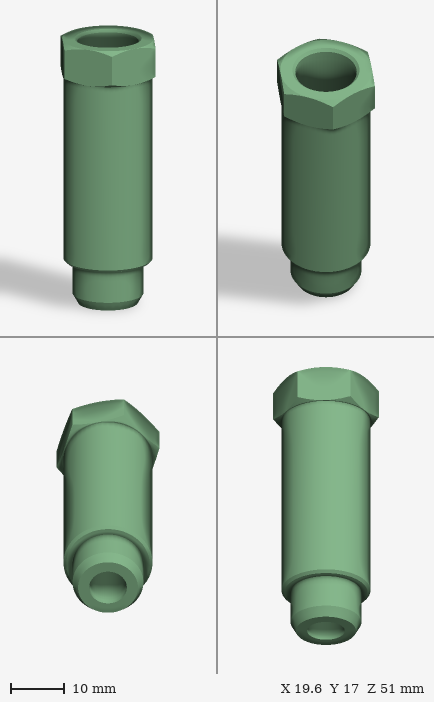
import cadquery as cq
import math

total_height = 51.0
head_height = 7.0
tip_height = 8.0

across_flats = 17.0
across_corners = across_flats / math.cos(math.radians(30))
head_chamfer_angle = 30.0

body_diameter = 16.5
body_chamfer = 0.5
tip_diameter = 13.15
tip_chamfer_height = 1.8
tip_chamfer_width = 1.0

bore_diameter = 11.4
bore_mouth_diameter = 12.45
bore_mouth_angle = 45.0
bore_depth = 15.0
drill_point_angle = 118.0
through_diameter = 7.0


def revolve_profile(points):
    """Revolve a closed (radius, height) outline about the Z axis."""
    return cq.Workplane("XZ").polyline(points).close().revolve(360, (0, 0, 0), (0, 1, 0))


def make_head():
    """Hexagon with both ends trimmed by cones that meet the flats."""
    base = total_height - head_height
    flat_radius = across_flats / 2
    corner_radius = across_corners / 2
    drop = (corner_radius - flat_radius) * math.tan(math.radians(head_chamfer_angle))
    hexagon = cq.Workplane("XY").workplane(offset=base).polygon(6, across_corners).extrude(head_height)
    envelope = revolve_profile([
        (0, base),
        (flat_radius, base),
        (corner_radius, base + drop),
        (corner_radius, total_height - drop),
        (flat_radius, total_height),
        (0, total_height),
    ])
    return hexagon.intersect(envelope)


def make_shank():
    """Body and tip, each chamfered at its lower edge."""
    body_radius = body_diameter / 2
    tip_radius = tip_diameter / 2
    head_base = total_height - head_height
    return revolve_profile([
        (0, 0),
        (tip_radius - tip_chamfer_width, 0),
        (tip_radius, tip_chamfer_height),
        (tip_radius, tip_height),
        (body_radius - body_chamfer, tip_height),
        (body_radius, tip_height + body_chamfer),
        (body_radius, head_base),
        (0, head_base),
    ])


def make_bore():
    """Material removed by the countersunk bore and the through hole."""
    bore_radius = bore_diameter / 2
    mouth_radius = bore_mouth_diameter / 2
    through_radius = through_diameter / 2
    mouth_depth = (mouth_radius - bore_radius) / math.tan(math.radians(bore_mouth_angle))
    cone_height = (bore_radius - through_radius) / math.tan(math.radians(drill_point_angle / 2))
    floor = total_height - bore_depth
    return revolve_profile([
        (0, 0),
        (through_radius, 0),
        (through_radius, floor - cone_height),
        (bore_radius, floor),
        (bore_radius, total_height - mouth_depth),
        (mouth_radius, total_height),
        (0, total_height),
    ])


result = make_head().union(make_shank()).cut(make_bore())